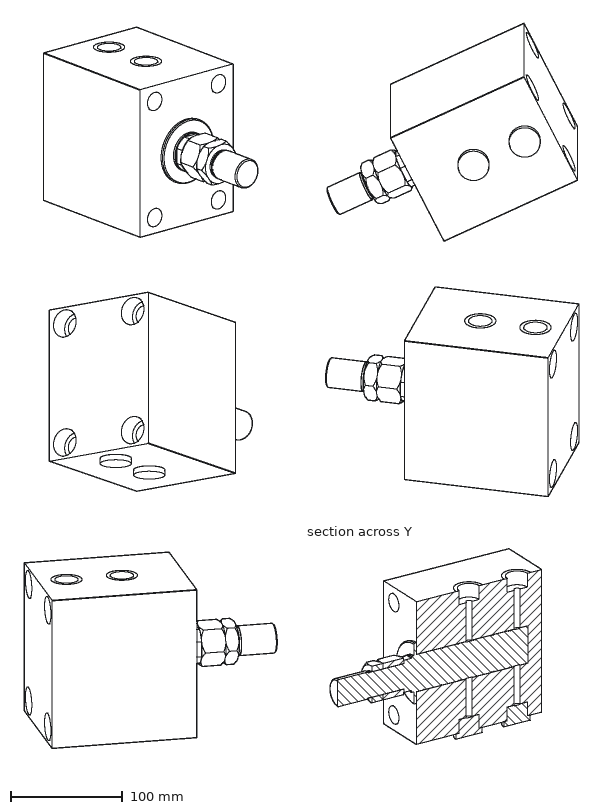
import cadquery as cq
import math

block_length = 133.0
block_width = 110.0
block_height = 140.0
edge_chamfer = 0.5
axis_height = block_height / 2

mount_hole_diameter = 17.0
mount_bore_diameter = 25.0
mount_bore_depth = 17.0
mount_spacing_y = 75.0
mount_spacing_z = 110.0

port_positions_x = (26.0, 77.0)
port_diameter = 21.0
port_depth = 13.5
spotface_diameter = 28.0
spotface_depth = 0.1
drilling_diameter = 6.0

plug_flange_thickness = 5.0

shank_radius = 18.0
shank_start = 15.0
flange_radius = 30.0
flange_thickness = 3.0
flange_chamfer = 1.0
collar_length = 2.6
neck_radius = 17.5
neck_flats = 32.0
neck_length = 7.9
stem_radius = 12.8
relief_radius = 12.5
thread_radius = 13.5
thread_chamfer = 1.2
relief_length = 1.6
thread_length = 33.0

nut_sides = 6
nut_flats = 36.0
nut_turn = 6.3
nut_face_radius = 18.2
long_nut_length = 22.0
short_nut_length = 12.0

flange_end = block_length + flange_thickness
collar_end = flange_end + collar_length
long_nut_start = collar_end + neck_length
short_nut_start = long_nut_start + long_nut_length
tip = 217.0
thread_start = tip - thread_length
relief_start = thread_start - relief_length


def cylinder_x(radius, start, end):
    """Cylinder on the cartridge axis."""
    return cq.Workplane("YZ", origin=(start, 0, axis_height)).circle(radius).extrude(end - start)


def cylinder_z(diameter, x, start, end):
    """Upright cylinder on the mid-plane of the block."""
    return cq.Workplane("XY", origin=(x, 0, start)).circle(diameter / 2).extrude(end - start)


def make_block():
    block_centering = (False, True, False)
    block = cq.Workplane("XY").box(block_length, block_width, block_height, centered=block_centering)
    block = block.edges("|X").chamfer(edge_chamfer)
    block = (
        block.faces("<X").workplane(origin=(0, 0, axis_height))
        .rect(mount_spacing_y, mount_spacing_z, forConstruction=True)
        .vertices()
        .cboreHole(mount_hole_diameter, mount_bore_diameter, mount_bore_depth)
    )
    for x in port_positions_x:
        block = block.cut(cylinder_z(drilling_diameter, x, 0, block_height))
        block = block.cut(cylinder_z(port_diameter, x, 0, port_depth))
        block = block.cut(cylinder_z(spotface_diameter, x, 0, spotface_depth))
        block = block.cut(cylinder_z(port_diameter, x, block_height - port_depth, block_height))
        block = block.cut(cylinder_z(spotface_diameter, x, block_height - spotface_depth, block_height))
    return block.cut(cylinder_x(shank_radius, shank_start, block_length))


def make_plug(x):
    flange = cylinder_z(spotface_diameter, x, spotface_depth - plug_flange_thickness, spotface_depth)
    return flange.union(cylinder_z(port_diameter, x, spotface_depth, port_depth))


def make_cartridge():
    flange = cylinder_x(flange_radius, block_length, flange_end).faces(">X").chamfer(flange_chamfer)
    neck_flat_box = cq.Workplane("XY").box(neck_length, neck_flats, neck_flats, centered=(False, True, True))
    neck = cylinder_x(neck_radius, collar_end, long_nut_start).intersect(
        neck_flat_box.translate((collar_end, 0, axis_height))
    )
    collar = cylinder_x(shank_radius, shank_start, collar_end)
    collar = collar.faces(">X").chamfer(shank_radius - neck_radius)
    thread = cylinder_x(thread_radius, thread_start, tip).faces(">X").chamfer(thread_chamfer)
    stem = cylinder_x(stem_radius, long_nut_start, relief_start)
    stem = stem.faces(">X").chamfer(stem_radius - relief_radius)
    cartridge = collar.union(flange).union(neck)
    cartridge = cartridge.union(stem)
    cartridge = cartridge.union(cylinder_x(relief_radius, relief_start, thread_start))
    return cartridge.union(thread)


def make_nut(start, length):
    """Hexagon nut whose corners are chamfered to a 45 degree cone at both ends."""
    corner_radius = nut_flats / 2 / math.cos(math.pi / nut_sides)
    cone_length = corner_radius - nut_face_radius
    hexagon = (
        cq.Workplane("YZ", origin=(start, 0, axis_height))
        .transformed(rotate=(0, 0, nut_turn))
        .polygon(nut_sides, 2 * corner_radius)
        .extrude(length)
    )
    envelope = (
        cq.Workplane("XY")
        .polyline([
            (0, 0),
            (0, nut_face_radius),
            (cone_length, corner_radius),
            (length - cone_length, corner_radius),
            (length, nut_face_radius),
            (length, 0),
        ])
        .close()
        .revolve(360, (0, 0, 0), (1, 0, 0))
        .translate((start, 0, axis_height))
    )
    return hexagon.intersect(envelope).cut(cylinder_x(stem_radius, start, start + length))


block = make_block()
plugs = [make_plug(x) for x in port_positions_x]
cartridge = make_cartridge()
long_nut = make_nut(long_nut_start, long_nut_length)
short_nut = make_nut(short_nut_start, short_nut_length)

result = cq.Compound.makeCompound([
    block.val(),
    *[plug.val() for plug in plugs],
    cartridge.val(),
    long_nut.val(),
    short_nut.val(),
])